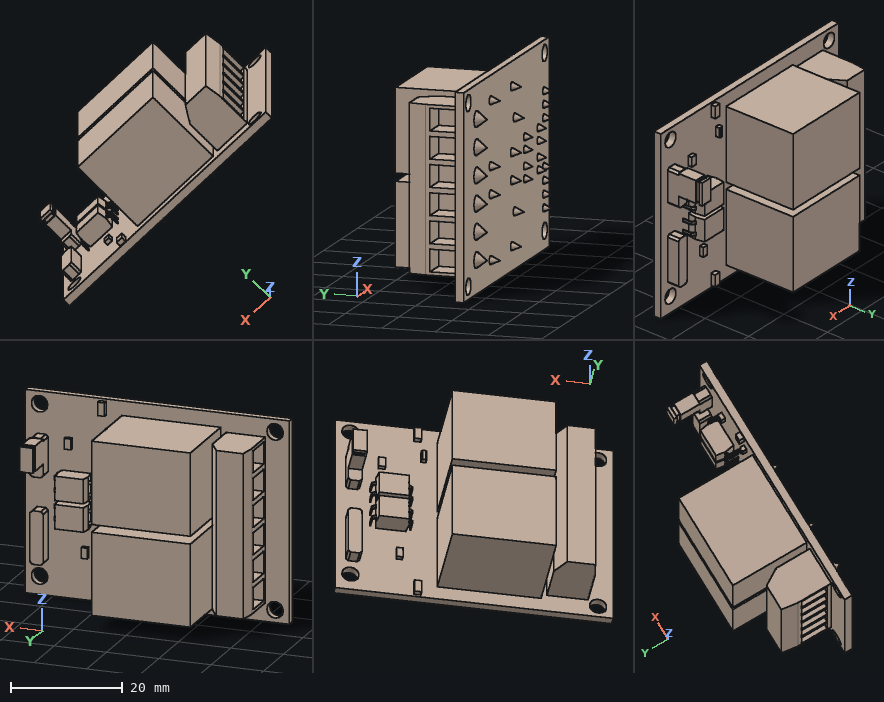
import cadquery as cq


BOARD_LENGTH = 50.5
BOARD_HEIGHT = 38.4
BOARD_THICKNESS = 1.6
MOUNT_HOLE_DIAMETER = 3.05
MOUNT_HOLE_X = 22.45
MOUNT_HOLE_Z = 16.75
LOW_CORNER_HOLE_Z = 15.7

RELAY_X_MIN = -12.1
RELAY_LENGTH = 18.85
RELAY_HEIGHT = 15.7
RELAY_DEPTH = 15.4
RELAY_CENTRE_Z = 8.6

TERMINAL_COUNT = 6
TERMINAL_PITCH = 5.15
TERMINAL_X_MIN = -20.65
TERMINAL_X_MAX = -13.2
TERMINAL_HEIGHT = 31.2
TERMINAL_DEPTH = 10.15
TERMINAL_SHOULDER_DEPTH = 7.0
TERMINAL_TOP_X_MIN = -20.2
TERMINAL_TOP_X_MAX = -15.1
WINDOW_START = 0.85
WINDOW_DEPTH_Y = 5.3
WINDOW_HEIGHT = 4.15
WINDOW_RECESS = 5.05

HEADER_X = 22.05
HEADER_WIDTH = 2.5
HEADER_DEPTH = 2.5
HEADER_CHAMFER = 0.45
JUMPER_HEADER_PINS = 3
JUMPER_HEADER_PITCH = 2.45
JUMPER_HEADER_Z = 7.45
SIGNAL_HEADER_PINS = 4
SIGNAL_HEADER_PITCH = 2.5
SIGNAL_HEADER_Z = -7.7
JUMPER_PINS = 2
JUMPER_SHOULDER = 6.5
JUMPER_NECK_END = 7.25
JUMPER_TOP = 7.95
JUMPER_NECK_INSET = 0.3
JUMPER_LENGTH = 4.75

CHIP_DEPTH = 0.8
TALL_CHIP_DEPTH = 0.95
CHIP_LENGTH = 2.0
EDGE_CHIP_LENGTH = 2.5
EDGE_CHIP_X_MIN = 9.7
EDGE_CHIP_X_MAX = 11.0
EDGE_CHIP_OUTER_Z = 18.75
LAMP_X_MIN = 8.8
LAMP_X_MAX = 9.7
LENS_X_MIN = 9.0
LENS_X_MAX = 9.5
LAMP_Z = 12.6
UPPER_CHIP_X_MIN = 16.2
UPPER_CHIP_X_MAX = 17.45
LOWER_CHIP_X_MIN = 13.1
LOWER_CHIP_X_MAX = 14.2
CHIP_Z = 10.1

OPTO_X = 15.25
OPTO_CENTRE_Z = 2.7
OPTO_HEIGHT = 4.6
OPTO_BOTTOM = 0.45
OPTO_TOP = 4.15
OPTO_WAIST_WIDTH = 6.0
OPTO_FACE_WIDTH = 5.4
LEGS_PER_SIDE = 2
LEG_SPACING = 2.3
LEG_WIDTH = 0.6
LEG_THICKNESS = 0.15
LEG_SPAN = 7.4
LEG_ELBOW = 1.9

TERMINAL_CONE_RADIUS = 1.5
TERMINAL_CONE_LENGTH = 1.95
TERMINAL_CONE_X = -17.7
RELAY_CONE_RADIUS = 0.8
RELAY_CONE_LENGTH = 1.75
RELAY_CONE_X_LEFT = -9.35
RELAY_CONE_X_RIGHT = 3.2
RELAY_COIL_CONE_X = 4.8
RELAY_CONE_OFFSET_Z = 6.0
PIN_CONE_RADIUS = 0.7
PIN_CONE_LENGTH = 1.45
OPTO_CONE_X_LEFT = 10.8
OPTO_CONE_X_RIGHT = 18.8

MIRROR_SIDES = (-1, 1)


def box(x_min, x_max, y_min, y_max, z_min, z_max):
    """Box between pairs of limits on the three axes."""
    return (
        cq.Workplane("XY")
        .box(x_max - x_min, y_max - y_min, z_max - z_min, centered=False)
        .translate((x_min, y_min, z_min))
    )


def on_board(x_min, x_max, depth, z_centre, height):
    """Box standing on the component face of the board."""
    half = height / 2
    return box(x_min, x_max, BOARD_THICKNESS, BOARD_THICKNESS + depth, z_centre - half, z_centre + half)


def prism(outline, z_centre, height):
    """Extrude an outline of (X, distance from the component face) along Z."""
    points = [(x, BOARD_THICKNESS + y) for x, y in outline]
    return (
        cq.Workplane("XY", origin=(0, 0, z_centre - height / 2))
        .polyline(points)
        .close()
        .extrude(height)
    )


def row(count, pitch, centre):
    """Evenly spaced positions about a centre."""
    return [centre + (i - (count - 1) / 2) * pitch for i in range(count)]


def bare_board():
    holes = [
        (-MOUNT_HOLE_X, MOUNT_HOLE_Z),
        (MOUNT_HOLE_X, MOUNT_HOLE_Z),
        (-MOUNT_HOLE_X, -MOUNT_HOLE_Z),
        (MOUNT_HOLE_X, -LOW_CORNER_HOLE_Z),
    ]
    plate = cq.Workplane("XZ").rect(BOARD_LENGTH, BOARD_HEIGHT).extrude(-BOARD_THICKNESS)
    drills = cq.Workplane("XZ").pushPoints(holes).circle(MOUNT_HOLE_DIAMETER / 2).extrude(-BOARD_THICKNESS)
    return plate.cut(drills)


def relay(z_centre):
    return on_board(RELAY_X_MIN, RELAY_X_MIN + RELAY_LENGTH, RELAY_DEPTH, z_centre, RELAY_HEIGHT)


def terminal_block():
    outline = [
        (TERMINAL_X_MIN, 0),
        (TERMINAL_X_MAX, 0),
        (TERMINAL_X_MAX, TERMINAL_SHOULDER_DEPTH),
        (TERMINAL_TOP_X_MAX, TERMINAL_DEPTH),
        (TERMINAL_TOP_X_MIN, TERMINAL_DEPTH),
        (TERMINAL_X_MIN, TERMINAL_SHOULDER_DEPTH),
    ]
    block = prism(outline, 0, TERMINAL_HEIGHT)
    window_y = BOARD_THICKNESS + WINDOW_START
    for z in row(TERMINAL_COUNT, TERMINAL_PITCH, 0):
        window = box(
            TERMINAL_X_MIN, TERMINAL_X_MIN + WINDOW_RECESS,
            window_y, window_y + WINDOW_DEPTH_Y,
            z - WINDOW_HEIGHT / 2, z + WINDOW_HEIGHT / 2,
        )
        block = block.cut(window)
    return block


def pin_header(pins, pitch, z_centre):
    half = HEADER_WIDTH / 2
    bar = on_board(HEADER_X - half, HEADER_X + half, HEADER_DEPTH, z_centre, pins * pitch)
    return bar.edges("|Y").chamfer(HEADER_CHAMFER)


def jumper():
    """Shunt on the upper pins of the jumper header: body, narrow neck and cap."""
    z_centre = JUMPER_HEADER_Z + (JUMPER_HEADER_PINS - JUMPER_PINS) * JUMPER_HEADER_PITCH / 2
    half = HEADER_WIDTH / 2
    neck_half = half - JUMPER_NECK_INSET
    levels = [
        (HEADER_DEPTH, JUMPER_SHOULDER, half, JUMPER_LENGTH / 2),
        (JUMPER_SHOULDER, JUMPER_NECK_END, neck_half, JUMPER_LENGTH / 2 - JUMPER_NECK_INSET),
        (JUMPER_NECK_END, JUMPER_TOP, half, JUMPER_LENGTH / 2),
    ]
    shunt = cq.Workplane("XY")
    for start, end, half_width, half_length in levels:
        step = box(
            HEADER_X - half_width, HEADER_X + half_width,
            BOARD_THICKNESS + start, BOARD_THICKNESS + end,
            z_centre - half_length, z_centre + half_length,
        )
        shunt = shunt.add(step)
    return shunt.combine()


def surface_chips():
    edge_z = EDGE_CHIP_OUTER_Z - EDGE_CHIP_LENGTH / 2
    chips = [
        on_board(EDGE_CHIP_X_MIN, EDGE_CHIP_X_MAX, TALL_CHIP_DEPTH, side * edge_z, EDGE_CHIP_LENGTH)
        for side in MIRROR_SIDES
    ]
    chips.append(on_board(LAMP_X_MIN, LAMP_X_MAX, CHIP_DEPTH, LAMP_Z, CHIP_LENGTH))
    chips.append(on_board(LENS_X_MIN, LENS_X_MAX, TALL_CHIP_DEPTH, LAMP_Z, CHIP_LENGTH))
    chips.append(on_board(UPPER_CHIP_X_MIN, UPPER_CHIP_X_MAX, CHIP_DEPTH, CHIP_Z, CHIP_LENGTH))
    chips.append(on_board(LOWER_CHIP_X_MIN, LOWER_CHIP_X_MAX, CHIP_DEPTH, -CHIP_Z, CHIP_LENGTH))
    return chips


def solder_cone(x, z, radius, length):
    """Cone with its base on the solder face and its tip towards -Y."""
    cone = cq.Solid.makeCone(radius, 0, length, cq.Vector(x, 0, z), cq.Vector(0, -1, 0))
    return cq.Workplane(obj=cone)


def solder_cones():
    cones = []
    for z in row(TERMINAL_COUNT, TERMINAL_PITCH, 0):
        cones.append(solder_cone(TERMINAL_CONE_X, z, TERMINAL_CONE_RADIUS, TERMINAL_CONE_LENGTH))

    for side in MIRROR_SIDES:
        relay_z = side * RELAY_CENTRE_Z
        relay_points = [(RELAY_COIL_CONE_X, relay_z)]
        for x in (RELAY_CONE_X_LEFT, RELAY_CONE_X_RIGHT):
            relay_points.append((x, relay_z - RELAY_CONE_OFFSET_Z))
            relay_points.append((x, relay_z + RELAY_CONE_OFFSET_Z))
        for x, z in relay_points:
            cones.append(solder_cone(x, z, RELAY_CONE_RADIUS, RELAY_CONE_LENGTH))

    pin_points = [(HEADER_X, z) for z in row(JUMPER_HEADER_PINS, JUMPER_HEADER_PITCH, JUMPER_HEADER_Z)]
    pin_points += [(HEADER_X, z) for z in row(SIGNAL_HEADER_PINS, SIGNAL_HEADER_PITCH, SIGNAL_HEADER_Z)]
    for side in MIRROR_SIDES:
        for z in row(LEGS_PER_SIDE, LEG_SPACING, side * OPTO_CENTRE_Z):
            pin_points.append((OPTO_CONE_X_LEFT, z))
            pin_points.append((OPTO_CONE_X_RIGHT, z))
    for x, z in pin_points:
        cones.append(solder_cone(x, z, PIN_CONE_RADIUS, PIN_CONE_LENGTH))
    return cones


def board_assembly():
    """Board with everything that stands solidly on it, as one solid."""
    features = [relay(side * RELAY_CENTRE_Z) for side in MIRROR_SIDES]
    features.append(terminal_block())
    features.append(pin_header(JUMPER_HEADER_PINS, JUMPER_HEADER_PITCH, JUMPER_HEADER_Z))
    features.append(pin_header(SIGNAL_HEADER_PINS, SIGNAL_HEADER_PITCH, SIGNAL_HEADER_Z))
    features.append(jumper())
    features += surface_chips()
    features += solder_cones()
    assembly = bare_board()
    for feature in features:
        assembly = assembly.union(feature)
    return assembly


def optocoupler(z_centre):
    """Raised six-sided package on four thin bent legs, as one solid."""
    waist = OPTO_WAIST_WIDTH / 2
    face = OPTO_FACE_WIDTH / 2
    waist_y = (OPTO_BOTTOM + OPTO_TOP) / 2
    package_outline = [
        (OPTO_X - face, OPTO_BOTTOM),
        (OPTO_X + face, OPTO_BOTTOM),
        (OPTO_X + waist, waist_y),
        (OPTO_X + face, OPTO_TOP),
        (OPTO_X - face, OPTO_TOP),
        (OPTO_X - waist, waist_y),
    ]
    body = prism(package_outline, z_centre, OPTO_HEIGHT)

    outer = LEG_SPAN / 2
    root = face
    leg_profile = [
        (outer, 0),
        (outer, LEG_ELBOW),
        (waist, waist_y + LEG_THICKNESS),
        (root, waist_y + LEG_THICKNESS),
        (root, waist_y - LEG_THICKNESS),
        (waist, waist_y - LEG_THICKNESS),
        (outer - LEG_THICKNESS, LEG_ELBOW - LEG_THICKNESS),
        (outer - LEG_THICKNESS, 0),
    ]
    for side in MIRROR_SIDES:
        outline = [(OPTO_X + side * x, y) for x, y in leg_profile]
        for z in row(LEGS_PER_SIDE, LEG_SPACING, z_centre):
            body = body.union(prism(outline, z, LEG_WIDTH))
    return body


board = board_assembly()
optocouplers = [optocoupler(side * OPTO_CENTRE_Z) for side in MIRROR_SIDES]

result = cq.Compound.makeCompound([board.val(), *[body.val() for body in optocouplers]])